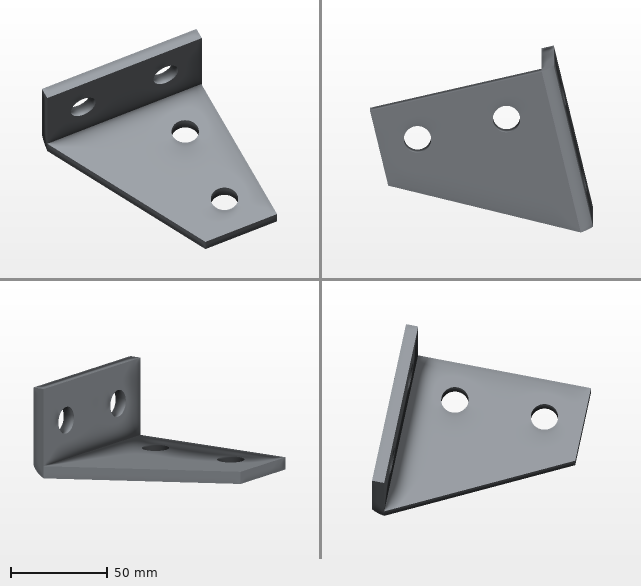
import cadquery as cq
import math

length = 98.1
width = 88.9
height = 47.6
thickness = 6.5

bend_radius = 2 * thickness

base_setback = 0.3
base_end_width = 41.2
base_back = width - base_setback

hole_diameter = 14.2
hole_spacing = 47.5
hole_edge_distance = 20.5


def hole_pair(plane, points):
    """Return two cylinders that pass through one plate thickness."""
    return cq.Workplane(plane).pushPoints(points).circle(hole_diameter / 2).extrude(thickness)


half_chord = thickness / math.sqrt(2)
sagitta = bend_radius - math.sqrt(bend_radius**2 - half_chord**2)
bend_middle = (thickness - sagitta * math.sqrt(2)) / 2

wall = (
    cq.Workplane("XZ")
    .moveTo(thickness, 0)
    .threePointArc((bend_middle, bend_middle), (0, thickness))
    .lineTo(0, height)
    .lineTo(thickness, height)
    .close()
    .extrude(-width)
)

base = (
    cq.Workplane("XY")
    .moveTo(thickness, 0)
    .lineTo(length, base_back - base_end_width)
    .lineTo(length, base_back)
    .lineTo(thickness, base_back)
    .close()
    .extrude(thickness)
)

base_hole_x = length - hole_edge_distance
base_hole_y = base_back - hole_edge_distance
base_holes = hole_pair("XY", [(base_hole_x - hole_spacing, base_hole_y), (base_hole_x, base_hole_y)])

wall_hole_y = (width - hole_spacing) / 2
wall_hole_z = height - hole_edge_distance
wall_holes = hole_pair("YZ", [(wall_hole_y, wall_hole_z), (wall_hole_y + hole_spacing, wall_hole_z)])

result = wall.union(base).cut(base_holes).cut(wall_holes)